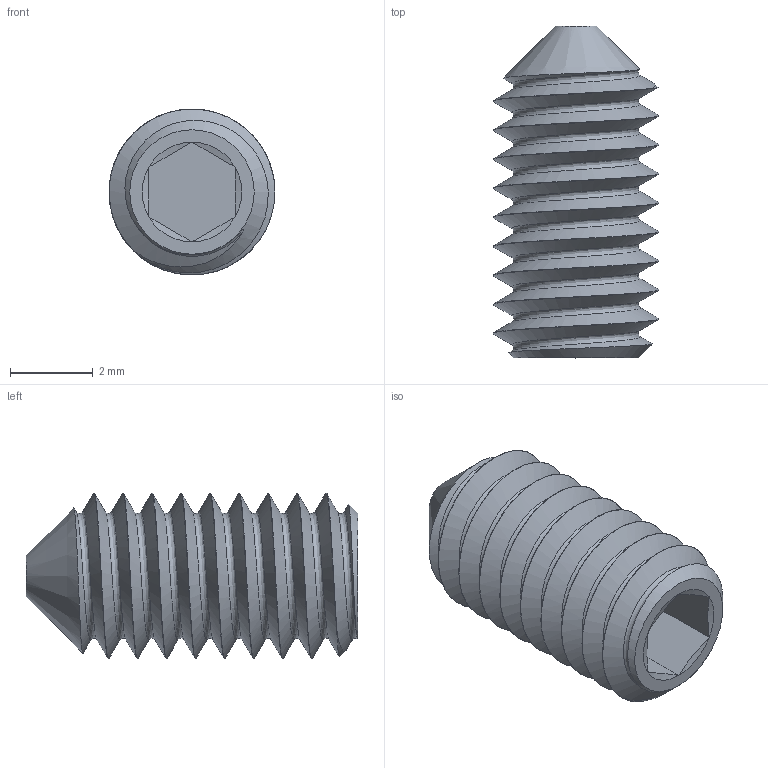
import cadquery as cq
import math

LENGTH = 8.0
MAJOR_RADIUS = 2.0
FACE_RADIUS = 1.5
TIP_RADIUS = 0.5

PITCH = 0.7
CREST_WIDTH = 0.008
FLANK_HALF_ANGLE = 30.0
ROOT_FILLET = PITCH / 8 / math.cos(math.radians(FLANK_HALF_ANGLE))
CREST_PHASE = 0.065

HEX_SIDES = 6
SOCKET_FLATS = 2.08
SOCKET_DEPTH = 2.5
COUNTERSINK_HALF_ANGLE = 75.0

GROOVE_OVERCUT = 0.004
RUNOUT = 2 * PITCH


def revolve_about_y(points):
    """Revolve a closed (radius, Y) outline around the screw axis."""
    return cq.Workplane("XY").polyline(points).close().revolve(360, (0, 0, 0), (0, 1, 0))


def make_blank():
    """Chamfered, cone-pointed blank at the thread's major diameter."""
    return revolve_about_y([
        (0, 0),
        (FACE_RADIUS, 0),
        (MAJOR_RADIUS, MAJOR_RADIUS - FACE_RADIUS),
        (MAJOR_RADIUS, LENGTH - (MAJOR_RADIUS - TIP_RADIUS)),
        (TIP_RADIUS, LENGTH),
        (0, LENGTH),
    ])


def make_thread_groove():
    """Right-hand helical groove with a round root, longer than the screw at both ends."""
    flank_angle = math.radians(FLANK_HALF_ANGLE)
    outer_radius = MAJOR_RADIUS + GROOVE_OVERCUT
    half_mouth = (PITCH - CREST_WIDTH) / 2 + GROOVE_OVERCUT * math.tan(flank_angle)
    apex_radius = outer_radius - half_mouth / math.tan(flank_angle)
    arc_centre_radius = apex_radius + ROOT_FILLET / math.sin(flank_angle)
    root_radius = arc_centre_radius - ROOT_FILLET
    tangent_radius = arc_centre_radius - ROOT_FILLET * math.sin(flank_angle)
    half_root = ROOT_FILLET * math.cos(flank_angle)
    profile = (
        cq.Workplane("XZ")
        .moveTo(outer_radius, -half_mouth)
        .lineTo(tangent_radius, -half_root)
        .threePointArc((root_radius, 0), (tangent_radius, half_root))
        .lineTo(outer_radius, half_mouth)
        .close()
    )
    helix = cq.Wire.makeHelix(PITCH, LENGTH + 2 * RUNOUT, MAJOR_RADIUS)
    groove = profile.sweep(cq.Workplane(obj=helix), isFrenet=True)
    return (
        groove.rotate((0, 0, 0), (0, 0, 1), -90)
        .rotate((0, 0, 0), (1, 0, 0), -90)
        .translate((0, CREST_PHASE + PITCH / 2 - RUNOUT, 0))
    )


def make_socket():
    """Blind hexagon with two corners on the Z axis and a countersink reaching the corners."""
    corner_radius = SOCKET_FLATS / 2 / math.cos(math.pi / HEX_SIDES)
    hexagon = (
        cq.Workplane("XZ")
        .transformed(rotate=(0, 0, 90))
        .polygon(HEX_SIDES, 2 * corner_radius)
        .extrude(-SOCKET_DEPTH)
    )
    cone_depth = corner_radius / math.tan(math.radians(COUNTERSINK_HALF_ANGLE))
    countersink = revolve_about_y([(0, 0), (corner_radius, 0), (0, cone_depth)])
    return hexagon.union(countersink)


result = make_blank().cut(make_thread_groove()).cut(make_socket())